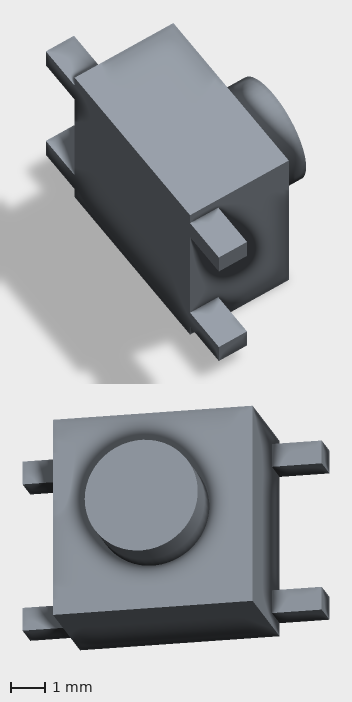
import cadquery as cq

overall_length = 9.0
body_size = 6.0
overall_depth = 5.0
button_height = 1.5
button_diameter = 3.4
body_depth = overall_depth - button_height

lead_depth = 1.0
lead_height = 0.7
lead_spacing = 4.5


def block(length, depth, height, center_z=0):
    """Block centred in X and at center_z, standing on the mounting face."""
    return (
        cq.Workplane("XY")
        .box(length, depth, height, centered=(True, False, True))
        .translate((0, 0, center_z))
    )


result = block(body_size, body_depth, body_size)

for side in (-1, 1):
    lead_bar = block(overall_length, lead_depth, lead_height, side * lead_spacing / 2)
    result = result.union(lead_bar)

button = (
    cq.Workplane("XZ", origin=(0, body_depth, 0))
    .circle(button_diameter / 2)
    .extrude(-button_height)
)
result = result.union(button)